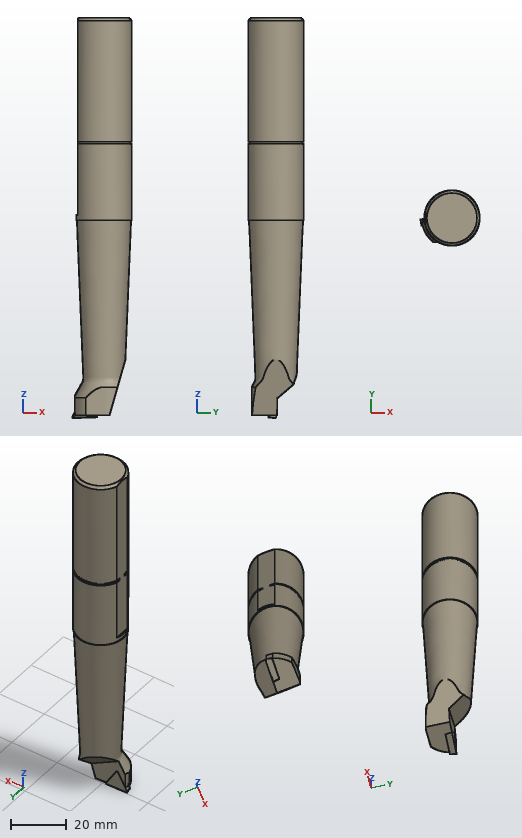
import cadquery as cq
import math

total_length = 144.0
tip_reach = 11.45

shank_radius = 10.01
shank_bottom_z = 71.2
shank_chamfer = 1.0
flat_width = 6.5
flat_bottom_z = 73.2
flat_distance = math.sqrt(shank_radius**2 - (flat_width / 2) ** 2)

groove_z = 98.7
groove_width = 0.7
groove_depth = 0.5
groove_radius = shank_radius - groove_depth

neck_top_radius = 9.8
neck_bottom_radius = 7.5
neck_bottom_z = 14.5
flare_radius = 8.0
flare_bottom_z = 12.5

head_bottom_z = 1.0
head_shoulder_z = 7.3
head_radius = 11.0
head_left_x = -10.5
head_front_y = -8.8

relief_top = (7.8, 21.2)
relief_bottom = (2.0, head_bottom_z)

floor_y = 0.3
floor_turn = math.radians(3.5)
roof_height = 8.8
roof_fall = 0.57

insert_edge = 9.7
insert_nose = 0.4
insert_thickness = 2.5
insert_clearance = 7.0
insert_tilt = 2.0

clear = 57.6


def floor_plane():
    """Plane of the chip pocket floor, local X along it, local Y up, normal into the head."""
    along = (math.cos(floor_turn), math.sin(floor_turn), 0)
    inward = (math.sin(floor_turn), -math.cos(floor_turn), 0)
    return cq.Plane(origin=(0, floor_y, 0), xDir=along, normal=inward)


def turned_blank():
    """Shank, neck, flare and head as one revolved profile."""
    groove_top_z = groove_z + groove_width
    return (
        cq.Workplane("XZ")
        .moveTo(0, total_length)
        .lineTo(shank_radius - shank_chamfer, total_length)
        .lineTo(shank_radius, total_length - shank_chamfer)
        .lineTo(shank_radius, groove_top_z)
        .lineTo(groove_radius, groove_top_z)
        .lineTo(groove_radius, groove_z)
        .lineTo(shank_radius, groove_z)
        .lineTo(shank_radius, shank_bottom_z)
        .lineTo(neck_top_radius, shank_bottom_z)
        .lineTo(neck_bottom_radius, neck_bottom_z)
        .tangentArcPoint((flare_radius, flare_bottom_z), relative=False)
        .lineTo(head_radius, head_shoulder_z)
        .lineTo(head_radius, head_bottom_z)
        .lineTo(0, head_bottom_z)
        .close()
        .revolve(360, (0, 0, 0), (0, 1, 0))
    )


def shank_flat():
    """Material removed for the narrow flat on the -X side of the shank."""
    return (
        cq.Workplane("XY")
        .box(clear, clear, total_length, centered=(False, True, False))
        .translate((-flat_distance - clear, 0, flat_bottom_z))
    )


def head_envelope():
    """Prism that bounds the head: flat left and front, round on the front right."""
    side_radius = -head_front_y
    return (
        cq.Workplane("XY")
        .moveTo(head_left_x, clear)
        .lineTo(head_left_x, head_front_y)
        .lineTo(0, head_front_y)
        .radiusArc((side_radius, 0), -side_radius)
        .lineTo(side_radius, clear)
        .close()
        .extrude(flare_bottom_z)
    )


def trim_head(body):
    """Keep only the part of the head zone that lies inside the envelope."""
    zone = cq.Workplane("XY").rect(2 * clear, 2 * clear).extrude(flare_bottom_z)
    return body.cut(zone.cut(head_envelope()))


def side_relief():
    """Material removed on the +X side by the sloping relief."""
    slope = (relief_top[0] - relief_bottom[0]) / (relief_top[1] - relief_bottom[1])
    x_at_base = relief_bottom[0] - slope * relief_bottom[1]
    return (
        cq.Workplane("XZ")
        .moveTo(x_at_base, 0)
        .lineTo(x_at_base + slope * clear, clear)
        .lineTo(clear, clear)
        .lineTo(clear, 0)
        .close()
        .extrude(clear, both=True)
    )


def chip_pocket():
    """Material removed in front of the floor (+Y side) and below the roof."""
    beyond_floor = cq.Workplane(floor_plane()).rect(2 * clear, 2 * clear).extrude(-clear)
    roof = cq.Plane(origin=(0, 0, roof_height), xDir=(1, 0, -roof_fall), normal=(roof_fall, -1, 1))
    below_roof = cq.Workplane(roof).rect(4 * clear, 4 * clear).extrude(-2 * clear)
    return beyond_floor.intersect(below_roof)


def make_insert():
    """Triangular insert with rounded corners and tapered flanks, flush with the pocket floor."""
    centre_edge = insert_edge - 2 * math.sqrt(3) * insert_nose
    return (
        cq.Workplane(floor_plane())
        .moveTo(insert_nose - tip_reach, insert_nose)
        .polarLine(centre_edge, insert_tilt)
        .polarLine(centre_edge, insert_tilt + 120)
        .close()
        .offset2D(insert_nose)
        .extrude(insert_thickness, taper=insert_clearance)
    )


def make_holder(insert):
    """Boring bar holder with a seat matching the insert."""
    body = trim_head(turned_blank().cut(shank_flat()))
    return body.cut(side_relief()).cut(chip_pocket()).cut(insert)


insert = make_insert()
holder = make_holder(insert)

result = cq.Compound.makeCompound([holder.val(), insert.val()])